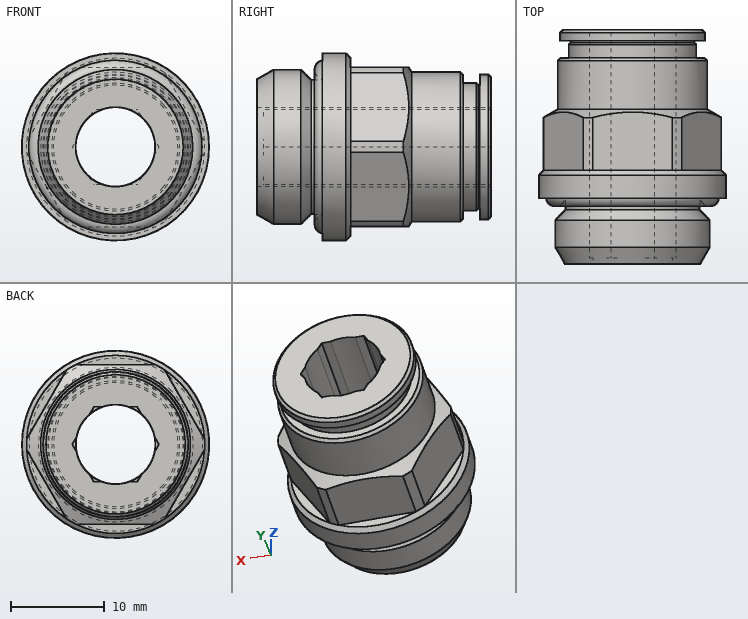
import cadquery as cq
import math

length = 25.0

thread_radius = 8.25
thread_tip_radius = 7.23
thread_tip_end = 1.8
thread_end = 4.7
neck_radius = 7.18
neck_start = 5.8

flange_radius = 10.0
flange_front = 7.0
flange_back = 10.0
flange_chamfer = 0.5
seal_outer_radius = 9.25
seal_section_radius = 1.0
seal_projection = 0.85

hex_across_flats = 17.0
hex_corner_radius = 9.5
hex_chamfer_angle = 30.0

body_radius = 8.0
body_start = 16.5
body_end = 22.0
body_chamfer = 0.33

collar_neck_radius = 6.83
collar_neck_chamfer = 0.2
collar_neck_end = 23.6
collar_radius = 7.75
collar_start = 23.8
collar_chamfer = 0.33

bore_radius = 4.23
key_across_flats = 8.0
key_start = 0.7


def revolve_about_y(sketch):
    return sketch.close().revolve(360, (0, 0, 0), (0, 1, 0))


def hexagonal_prism(across_flats, start, end):
    """Hexagon along Y with corners on the X axis."""
    across_corners = across_flats / math.cos(math.radians(30))
    return (
        cq.Workplane("XZ", origin=(0, start, 0))
        .polygon(6, across_corners)
        .extrude(start - end)
    )


def turned_front():
    """Thread, neck, sealing ring and flange."""
    seal_center_radius = seal_outer_radius - seal_section_radius
    seal_sunk_depth = seal_section_radius - seal_projection
    seal_half_width = math.sqrt(seal_section_radius**2 - seal_sunk_depth**2)
    return revolve_about_y(
        cq.Workplane("XY")
        .moveTo(0, 0)
        .lineTo(thread_tip_radius, 0)
        .lineTo(thread_radius, thread_tip_end)
        .lineTo(thread_radius, thread_end)
        .lineTo(neck_radius, neck_start)
        .lineTo(neck_radius, flange_front)
        .lineTo(seal_center_radius - seal_half_width, flange_front)
        .threePointArc(
            (seal_center_radius, flange_front - seal_projection),
            (seal_center_radius + seal_half_width, flange_front),
        )
        .lineTo(flange_radius, flange_front)
        .lineTo(flange_radius, flange_back - flange_chamfer)
        .lineTo(flange_radius - flange_chamfer, flange_back)
        .lineTo(0, flange_back)
    )


def spanner_hexagon():
    """Hexagon trimmed by a cylinder with a conical back end."""
    chamfer_length = (hex_corner_radius - body_radius) * math.tan(math.radians(hex_chamfer_angle))
    envelope = revolve_about_y(
        cq.Workplane("XY")
        .moveTo(0, flange_back)
        .lineTo(hex_corner_radius, flange_back)
        .lineTo(hex_corner_radius, body_start - chamfer_length)
        .lineTo(body_radius, body_start)
        .lineTo(0, body_start)
    )
    return hexagonal_prism(hex_across_flats, flange_back, body_start).intersect(envelope)


def turned_back():
    """Socket body and release collar."""
    return revolve_about_y(
        cq.Workplane("XY")
        .moveTo(0, body_start)
        .lineTo(body_radius, body_start)
        .lineTo(body_radius, body_end - body_chamfer)
        .lineTo(body_radius - body_chamfer, body_end)
        .lineTo(collar_neck_radius, body_end)
        .lineTo(collar_neck_radius, collar_neck_end - collar_neck_chamfer)
        .lineTo(collar_neck_radius - collar_neck_chamfer, collar_neck_end)
        .lineTo(collar_neck_radius - collar_neck_chamfer, collar_start)
        .lineTo(collar_radius, collar_start)
        .lineTo(collar_radius, length - collar_chamfer)
        .lineTo(collar_radius - collar_chamfer, length)
        .lineTo(0, length)
    )


bore = cq.Workplane("XZ").circle(bore_radius).extrude(-length)
key_socket = hexagonal_prism(key_across_flats, key_start, length)

result = turned_front().union(spanner_hexagon()).union(turned_back())
result = result.cut(bore).cut(key_socket)